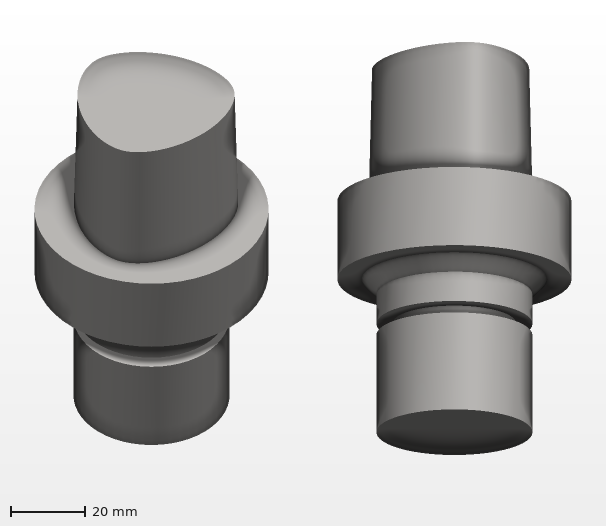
import cadquery as cq
import math


shank_length = 38.0
shank_base_width = 44.2
shank_taper = 1 / 20
lobe_height = 1.45
outline_points = 72

flange_diameter = 63.0
flange_thickness = 22.0
cone_top_diameter = 50.0
cone_height = 4.25
collar_diameter = 42.0
collar_length = 8.25
neck_diameter = 33.5
neck_length = 3.2

gauge_length = 65.0
nut_diameter = collar_diameter

cone_top = -flange_thickness
cone_bottom = cone_top - cone_height
collar_bottom = cone_bottom - collar_length
neck_bottom = collar_bottom - neck_length
nut_length = gauge_length + neck_bottom


def lobe_point(turn, width, height):
    """Point on a three-lobed outline of constant width, starting at the lobe on -Y."""
    angle = 2 * math.pi * turn
    reach = width / 2 + lobe_height * math.cos(3 * angle)
    drift = -3 * lobe_height * math.sin(3 * angle)
    along = reach * math.cos(angle) - drift * math.sin(angle)
    across = reach * math.sin(angle) + drift * math.cos(angle)
    return cq.Vector(across, -along, height)


def lobed_wire(width, height):
    """Closed smooth wire through the three-lobed outline."""
    points = [lobe_point(i / outline_points, width, height) for i in range(outline_points)]
    return cq.Wire.assembleEdges([cq.Edge.makeSpline(points, periodic=True)])


def make_shank():
    """Tapered polygon standing on the flange face."""
    top_width = shank_base_width - shank_taper * shank_length
    base = lobed_wire(shank_base_width, 0)
    top = lobed_wire(top_width, shank_length)
    return cq.Workplane(obj=cq.Solid.makeLoft([base, top], True))


def make_turned_body():
    """Flange, cone, collar and neck turned about the axis."""
    profile = [
        (0, 0),
        (flange_diameter / 2, 0),
        (flange_diameter / 2, cone_top),
        (cone_top_diameter / 2, cone_top),
        (collar_diameter / 2, cone_bottom),
        (collar_diameter / 2, collar_bottom),
        (neck_diameter / 2, collar_bottom),
        (neck_diameter / 2, neck_bottom),
        (0, neck_bottom),
    ]
    return cq.Workplane("XZ").polyline(profile).close().revolve(360, (0, 0, 0), (0, 1, 0))


def make_holder():
    """Polygon shank and turned body in one piece."""
    return make_turned_body().union(make_shank())


def make_nut():
    """Plain round nut against the end of the neck."""
    start = cq.Workplane("XY").workplane(offset=neck_bottom)
    return start.circle(nut_diameter / 2).extrude(-nut_length)


holder = make_holder()
nut = make_nut()

result = cq.Compound.makeCompound([holder.val(), nut.val()])